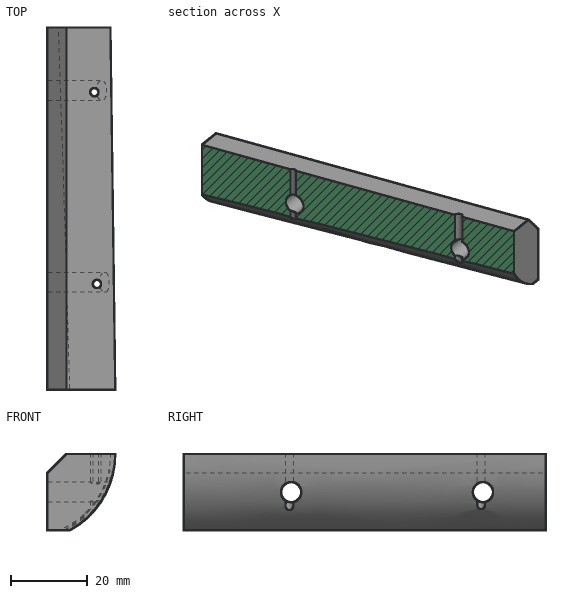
import cadquery as cq

length = 94.47
height = 20.0
front_width = 17.81
taper = 1 / 75
chamfer = 5.0

front_radius = 22.75
rear_radius = front_radius - taper * length
cone_axis_x = front_width - front_radius

hole_pitch = 50.0
mount_diameter = 5.2
mount_first_y = 28.05
mount_z = height / 2
pin_diameter = 2.1
pin_first_y = 27.6
pin_edge_distance = 4.45


def width_at(y):
    """Width of the top face at a distance y from the front end."""
    return front_width - taper * y


def make_body():
    """Bar cut from a block and a cone, with the upper back edge chamfered."""
    block = cq.Workplane("XY").box(front_width, length, height, centered=False)
    block = block.edges("<X and >Z").chamfer(chamfer)
    cone = cq.Solid.makeCone(
        front_radius,
        rear_radius,
        length,
        pnt=cq.Vector(cone_axis_x, 0, height),
        dir=cq.Vector(0, 1, 0),
    )
    return block.intersect(cq.Workplane(cone))


def mount_hole(y):
    """Hole through the bar along X."""
    start = cq.Vector(0, y, mount_z)
    return cq.Solid.makeCylinder(mount_diameter / 2, front_width, start, cq.Vector(1, 0, 0))


def pin_hole(y):
    """Hole through the bar along Z, following the tapered edge."""
    start = cq.Vector(width_at(y) - pin_edge_distance, y, 0)
    return cq.Solid.makeCylinder(pin_diameter / 2, height, start, cq.Vector(0, 0, 1))


result = make_body()
for station in range(2):
    offset = station * hole_pitch
    result = result.cut(cq.Workplane(mount_hole(mount_first_y + offset)))
    result = result.cut(cq.Workplane(pin_hole(pin_first_y + offset)))